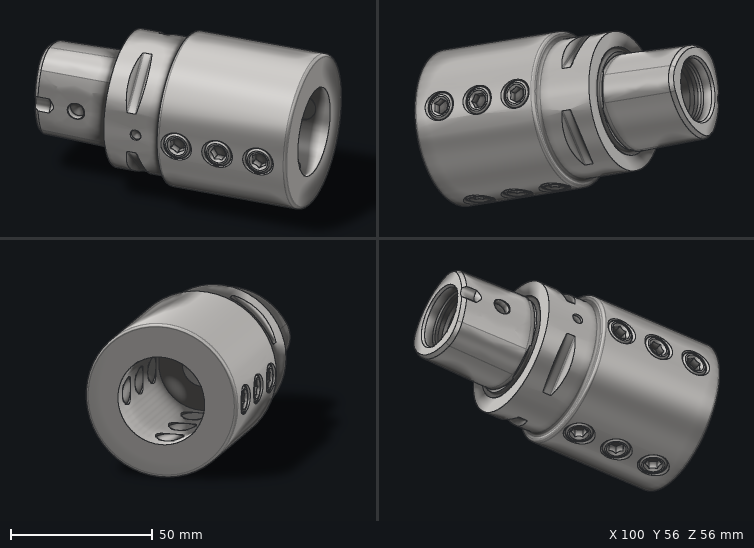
import cadquery as cq
import math


length = 100.0
body_diameter = 56.0
body_start = 51.0
flange_diameter = 50.0
flange_start = 30.0
body_edge_radius = 1.0
flange_fillet_radius = 1.0

lobe_center_offset = 8.2
lobe_radius = 10.4
side_radius = 24.6
shank_length = 28.0
taper_per_side = 1 / 40
tip_chamfer_length = 1.5
tip_chamfer_inset = 1.0
shank_end = 29.5
neck_diameter = 35.2
face_groove_radius = 0.9

mouth_diameter = 24.0
mouth_chamfer = 0.6
mouth_chamfer_length = 1.0
seat_end = 4.3
lip_diameter = 21.0
lip_start = 4.8
lip_end = 6.0
relief_diameter = 22.6
relief_end = 8.0
inner_bore_diameter = 20.4
inner_bore_end = 20.0
coolant_diameter = 14.5
coolant_chamfer = 1.0
clamp_bore_diameter = 32.0
clamp_bore_depth = 50.0

drill_point_half_angle = math.radians(59)
notch_diameter = 6.5
notch_depth = 5.6
notch_point_half_angle = math.radians(45)
notch_axis_offset = 17.2
shank_hole_diameter = 6.1
shank_hole_rim_diameter = 6.7
shank_hole_x = 16.0
shank_hole_floor_radius = 13.3
mark_hole_diameter = 4.0
mark_hole_x = 42.0
mark_hole_floor_radius = 24.0

groove_x = 40.0
groove_floor_width = 3.4
groove_floor_distance = 22.3
groove_wall_angle = math.radians(30)
groove_corner_radius = 0.5
groove_angles = [45, 135, 225, 315]

screw_diameter = 10.0
screw_hole_rim_diameter = 11.6
screw_pitch = 15.5
screw_positions = [58.5 + i * screw_pitch for i in range(3)]
screw_row_angles = [180, 0, 270]
screw_turns = [30, 0, 30]
screw_top_radius = 27.6
screw_end_chamfer = 0.9
socket_width = 5.0
socket_depth = 4.0
socket_rim_diameter = 7.0


def shank_section(x, inset):
    """Closed wire of six tangent arcs around the X axis, moved inwards by inset."""
    lobe = lobe_radius - inset
    side = side_radius - inset

    def polar(radius, degrees):
        angle = math.radians(degrees)
        return radius * math.cos(angle), radius * math.sin(angle)

    def on_lobe(lobe_angle, normal_angle):
        center_y, center_z = polar(lobe_center_offset, lobe_angle)
        dy, dz = polar(lobe, normal_angle)
        return center_y + dy, center_z + dz

    outline = cq.Workplane("YZ", origin=(x, 0, 0)).moveTo(*on_lobe(0, -30))
    for lobe_angle in (0, 120, 240):
        outline = outline.threePointArc(on_lobe(lobe_angle, lobe_angle),
                                        on_lobe(lobe_angle, lobe_angle + 30))
        side_angle = lobe_angle + 60
        next_angle = lobe_angle + 120
        outline = outline.threePointArc(polar(side - lobe_center_offset, side_angle),
                                        on_lobe(next_angle, next_angle - 30))
    return outline.close().wire().val()


def make_shank():
    """Tapered shank with a chamfered tip."""
    tip_inset = taper_per_side * (shank_length - tip_chamfer_length)
    end = shank_section(0, tip_inset + tip_chamfer_inset)
    chamfer_end = shank_section(tip_chamfer_length, tip_inset)
    large_end = shank_section(shank_length, 0)
    tip = cq.Workplane(cq.Solid.makeLoft([end, chamfer_end], True))
    taper = cq.Workplane(cq.Solid.makeLoft([chamfer_end, large_end], True))
    return tip.union(taper)


def make_side_trim():
    """Ring around the shank section that trims the neck flush with the shallow sides."""
    section = [shank_section(x, 0) for x in (shank_length, shank_end)]
    core = cq.Workplane(cq.Solid.makeLoft(section, True))
    disc = (
        cq.Workplane("YZ", origin=(shank_length, 0, 0))
        .circle(flange_diameter / 2)
        .extrude(shank_end - shank_length)
    )
    return disc.cut(core)


def make_round_body():
    """Bevelled neck, flange and main body as one turned profile."""
    lobe_tip = lobe_center_offset + lobe_radius
    neck = neck_diameter / 2
    flange = flange_diameter / 2
    body = body_diameter / 2
    r_groove = face_groove_radius
    r_flange = flange_fillet_radius
    r_edge = body_edge_radius
    k = math.sqrt(0.5)
    profile = (
        cq.Workplane("XY")
        .moveTo(shank_length, 0)
        .lineTo(shank_length, lobe_tip)
        .lineTo(shank_length + lobe_tip - neck, neck)
        .lineTo(flange_start, neck)
        .threePointArc((flange_start + r_groove, neck + r_groove),
                       (flange_start, neck + 2 * r_groove))
        .lineTo(flange_start, flange)
        .lineTo(body_start - r_flange, flange)
        .threePointArc((body_start - r_flange * (1 - k), flange + r_flange * (1 - k)),
                       (body_start, flange + r_flange))
        .lineTo(body_start, body - r_edge)
        .threePointArc((body_start + r_edge * (1 - k), body - r_edge * (1 - k)),
                       (body_start + r_edge, body))
        .lineTo(length - r_edge, body)
        .threePointArc((length - r_edge * (1 - k), body - r_edge * (1 - k)),
                       (length, body - r_edge))
        .lineTo(length, 0)
        .close()
    )
    return profile.revolve(360, (0, 0, 0), (1, 0, 0))


def make_axial_bores():
    """Stepped through bore with a lip and a relief near the mouth, wide at the clamping end."""
    mouth = mouth_diameter / 2
    seat = mouth - mouth_chamfer
    lip = lip_diameter / 2
    relief = relief_diameter / 2
    inner = inner_bore_diameter / 2
    coolant = coolant_diameter / 2
    clamp = clamp_bore_diameter / 2
    clamp_start = length - clamp_bore_depth
    profile = (
        cq.Workplane("XY")
        .polyline([
            (0, 0), (0, mouth),
            (mouth_chamfer_length, seat), (seat_end, seat),
            (lip_start, lip), (lip_end, lip),
            (lip_end, relief), (relief_end, relief),
            (relief_end + relief - inner, inner), (inner_bore_end, inner),
            (inner_bore_end, coolant + coolant_chamfer),
            (inner_bore_end + coolant_chamfer, coolant), (clamp_start, coolant),
            (clamp_start, clamp), (length, clamp), (length, 0),
        ])
        .close()
    )
    return profile.revolve(360, (0, 0, 0), (1, 0, 0))


def make_drill(diameter, depth, start, direction, point_half_angle=drill_point_half_angle):
    """Cylinder with a conical point, cut from start along direction."""
    radius = diameter / 2
    tip = depth + radius / math.tan(point_half_angle)
    profile = cq.Workplane("XZ").polyline([(0, 0), (radius, 0), (radius, depth), (0, tip)]).close()
    drill = profile.revolve(360, (0, 0, 0), (0, 1, 0)).val()
    plane = cq.Plane(origin=start, normal=direction)
    return cq.Workplane(drill.moved(cq.Location(plane)))


def make_drilled_holes():
    notch = make_drill(notch_diameter, notch_depth, (0, -notch_axis_offset, 0), (1, 0, 0),
                       notch_point_half_angle)
    outside = flange_diameter / 2
    shank_hole = make_drill(shank_hole_diameter, outside - shank_hole_floor_radius,
                            (shank_hole_x, -outside, 0), (0, 1, 0))
    mark_hole = make_drill(mark_hole_diameter, outside - mark_hole_floor_radius,
                           (mark_hole_x, -outside, 0), (0, 1, 0))
    rim = shank_hole_rim_diameter / 2
    shank_surface = side_radius - lobe_center_offset - taper_per_side * (shank_length - shank_hole_x)
    countersink = cq.Workplane(cq.Solid.makeCone(rim, 0, rim, pnt=(shank_hole_x, -shank_surface, 0),
                                                 dir=(0, 1, 0)))
    return [notch, shank_hole, countersink, mark_hole]


def make_gripper_groove(angle):
    """Straight trapezoidal groove across the flange rim, its floor facing +Y before turning."""
    floor = groove_floor_width / 2
    height = flange_diameter / 2 - groove_floor_distance
    top = floor + height * math.tan(groove_wall_angle)
    rim = groove_floor_distance + height
    groove = (
        cq.Workplane("XY")
        .polyline([
            (groove_x - floor, groove_floor_distance), (groove_x + floor, groove_floor_distance),
            (groove_x + top, rim), (groove_x - top, rim),
        ])
        .close()
        .extrude(flange_diameter / 2, both=True)
        .faces("<Y")
        .edges("|Z")
        .fillet(groove_corner_radius)
    )
    return groove.rotate((0, 0, 0), (1, 0, 0), angle)


def make_screw_hole():
    """Radial hole along +Y into the clamping bore, countersunk at the surface."""
    radius = screw_diameter / 2
    rim = screw_hole_rim_diameter / 2
    surface = body_diameter / 2
    profile = (
        cq.Workplane("XY")
        .polyline([
            (0, 0), (radius, 0), (radius, surface - rim + radius),
            (rim, surface), (0, surface),
        ])
        .close()
    )
    return profile.revolve(360, (0, 0, 0), (0, 1, 0))


def make_screw(turn):
    """Headless hex socket screw along +Y, with its socket turned about its own axis."""
    radius = screw_diameter / 2
    socket_corner = socket_width / math.sqrt(3)
    rim = socket_rim_diameter / 2
    tip = clamp_bore_diameter / 2
    screw = (
        cq.Workplane("XZ", origin=(0, screw_top_radius, 0))
        .circle(radius)
        .extrude(screw_top_radius - tip)
        .faces(">Y")
        .chamfer(screw_end_chamfer)
    )
    socket = (
        cq.Workplane("XZ", origin=(0, screw_top_radius, 0))
        .polygon(6, 2 * socket_corner)
        .extrude(socket_depth)
    )
    countersink = cq.Workplane(cq.Solid.makeCone(rim, 0, rim, pnt=(0, screw_top_radius, 0),
                                                 dir=(0, -1, 0)))
    return screw.cut(socket).cut(countersink).rotate((0, 0, 0), (0, 1, 0), turn)


def place(item, x, row_angle):
    """Turn a radial item from +Y to its row and move it along the tool axis."""
    return item.rotate((0, 0, 0), (1, 0, 0), row_angle).translate((x, 0, 0))


def make_housing():
    housing = make_shank().union(make_round_body().cut(make_side_trim())).cut(make_axial_bores())
    for hole in make_drilled_holes():
        housing = housing.cut(hole)
    for angle in groove_angles:
        housing = housing.cut(make_gripper_groove(angle))
    for row_angle in screw_row_angles:
        for x in screw_positions:
            housing = housing.cut(place(make_screw_hole(), x, row_angle))
    return housing


housing = make_housing()
screws = []
for row_angle in screw_row_angles:
    for x, turn in zip(screw_positions, screw_turns):
        screws.append(place(make_screw(turn), x, row_angle).val())

result = cq.Compound.makeCompound([housing.val(), *screws])